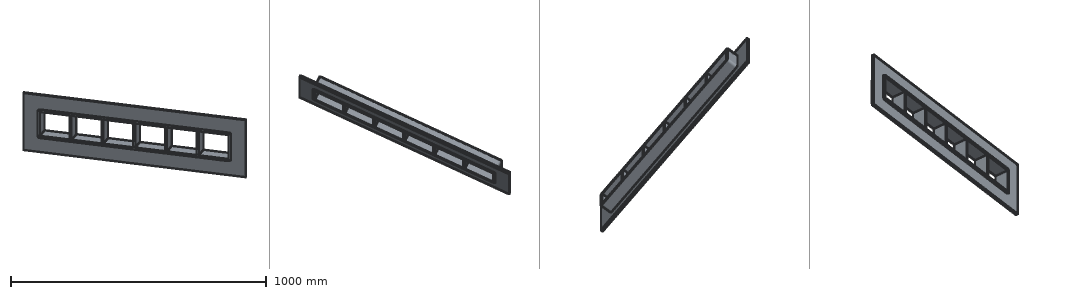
import cadquery as cq

plate_length = 913.0
plate_height = 241.0
plate_thickness = 9.0

frame_length = 794.0
frame_height = 120.5
frame_depth = 60.0
frame_corner_radius = 11.0
frame_lip = 3.0

window_count = 6
frame_wall = 10.0
divider_thickness = 9.0
windows_span = frame_length - 2 * frame_wall
window_length = (windows_span - (window_count - 1) * divider_thickness) / window_count
window_height = frame_height - 2 * frame_wall
window_pitch = window_length + divider_thickness


def upright_block(length, height, front, depth):
    """Block centred in X and Z that runs from Y = front toward +Y."""
    return (
        cq.Workplane("XZ", origin=(0, front, 0))
        .rect(length, height)
        .extrude(-depth)
    )


def make_plate():
    return upright_block(plate_length, plate_height, frame_lip, plate_thickness)


def make_frame():
    frame = upright_block(frame_length, frame_height, 0, frame_depth)
    return frame.edges("|Y").fillet(frame_corner_radius)


def make_windows():
    return (
        cq.Workplane("XZ")
        .rarray(window_pitch, 9, window_count, 1)
        .rect(window_length, window_height)
        .extrude(-frame_depth)
    )


result = make_plate().union(make_frame()).cut(make_windows())